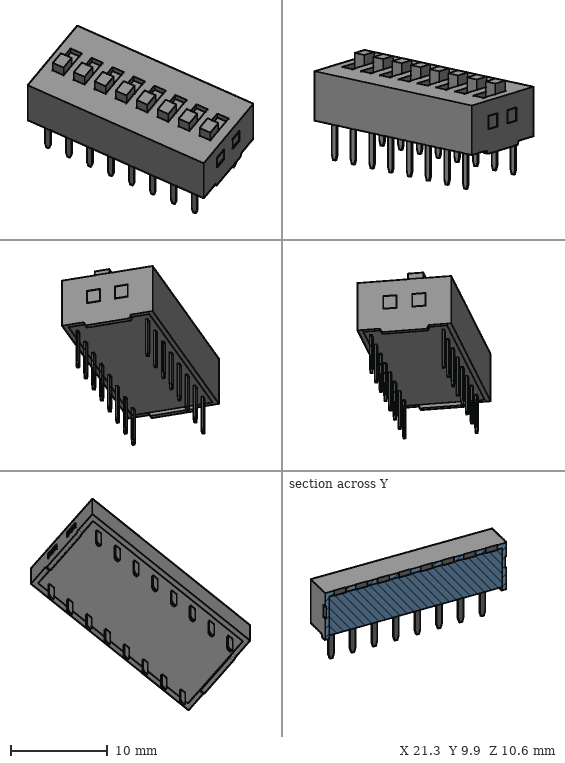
import cadquery as cq

LENGTH = 21.32
WIDTH = 9.9
BODY_HEIGHT = 5.3
OVERALL_HEIGHT = 10.55
WALL = 0.53
ROOF = 0.62

SWITCH_COUNT = 8
PITCH = 2.54

SLOT_WIDTH = 1.35
SLOT_LENGTH = 3.62

SLIDER_RISE = 1.1
SLIDER_WIDTH = 1.3
SLIDER_LENGTH = 1.6
SLIDER_END_GAP = 0.05

WINDOW_SIZE = 1.4
WINDOW_SPACING = 3.05
WINDOW_BOTTOM = 2.22
WINDOW_DEPTH = 0.1

FOOT_FILLET = 0.203
FOOT_NECK_WIDTH = 4.99

PIN_WIDTH = 0.62
PIN_THICKNESS = 0.21
PIN_TIP_WIDTH = 0.3
PIN_TAPER = 0.53
PIN_ROW_SPACING = 7.61

INNER_LENGTH = LENGTH - 2 * WALL
INNER_WIDTH = WIDTH - 2 * WALL
BASE_HEIGHT = BODY_HEIGHT - ROOF
FOOT_HEIGHT = 2 * FOOT_FILLET
PIN_LENGTH = OVERALL_HEIGHT - BODY_HEIGHT - SLIDER_RISE

SWITCH_XS = [(i - (SWITCH_COUNT - 1) / 2) * PITCH for i in range(SWITCH_COUNT)]


def block(length, width, height, x=0, y=0, z=0):
    """Box centred on (x, y), standing on height z."""
    return cq.Workplane("XY").box(length, width, height, (True, True, False)).translate((x, y, z))


def make_foot(x_start):
    """Standoff under an end wall, with a concave and a convex round on each flank."""
    neck = FOOT_NECK_WIDTH / 2
    root = neck + FOOT_FILLET
    sole = neck - FOOT_FILLET
    rounding = FOOT_FILLET * 0.5**0.5
    return (
        cq.Workplane("YZ", origin=(x_start, 0, 0))
        .moveTo(-root, 0)
        .threePointArc((-root + rounding, -FOOT_FILLET + rounding), (-neck, -FOOT_FILLET))
        .threePointArc((-sole - rounding, -FOOT_FILLET - rounding), (-sole, -FOOT_HEIGHT))
        .lineTo(sole, -FOOT_HEIGHT)
        .threePointArc((sole + rounding, -FOOT_FILLET - rounding), (neck, -FOOT_FILLET))
        .threePointArc((root - rounding, -FOOT_FILLET + rounding), (root, 0))
        .close()
        .extrude(WALL)
    )


def make_cover():
    """Shell open at the bottom, with roof slots, blind end windows and two feet."""
    cover = block(LENGTH, WIDTH, BODY_HEIGHT).cut(block(INNER_LENGTH, INNER_WIDTH, BASE_HEIGHT))
    for x in SWITCH_XS:
        cover = cover.cut(block(SLOT_WIDTH, SLOT_LENGTH, ROOF, x, 0, BASE_HEIGHT))
    for side in (-1, 1):
        window_x = side * (LENGTH - WINDOW_DEPTH) / 2
        for window_y in (-WINDOW_SPACING / 2, WINDOW_SPACING / 2):
            cover = cover.cut(
                block(WINDOW_DEPTH, WINDOW_SIZE, WINDOW_SIZE, window_x, window_y, WINDOW_BOTTOM)
            )
    for foot_x in (-LENGTH / 2, LENGTH / 2 - WALL):
        cover = cover.union(make_foot(foot_x))
    return cover


def make_pin(x, y):
    """Flat pin hanging from Z = 0, its edges tapered towards the tip."""
    half = PIN_WIDTH / 2
    half_tip = PIN_TIP_WIDTH / 2
    taper_z = PIN_TAPER - PIN_LENGTH
    return (
        cq.Workplane("XZ")
        .polyline(
            [
                (-half, 0),
                (half, 0),
                (half, taper_z),
                (half_tip, -PIN_LENGTH),
                (-half_tip, -PIN_LENGTH),
                (-half, taper_z),
            ]
        )
        .close()
        .extrude(PIN_THICKNESS / 2, both=True)
        .translate((x, y, 0))
    )


def make_base():
    """Block filling the cover, carrying both rows of pins."""
    base = block(INNER_LENGTH, INNER_WIDTH, BASE_HEIGHT)
    for y in (-PIN_ROW_SPACING / 2, PIN_ROW_SPACING / 2):
        for x in SWITCH_XS:
            base = base.union(make_pin(x, y))
    return base


def make_slider(x):
    """Slider standing on the base, near the -Y end of its slot."""
    y = -SLOT_LENGTH / 2 + SLIDER_END_GAP + SLIDER_LENGTH / 2
    return block(SLIDER_WIDTH, SLIDER_LENGTH, ROOF + SLIDER_RISE, x, y, BASE_HEIGHT)


cover = make_cover()
base = make_base()
sliders = [make_slider(x) for x in SWITCH_XS]

result = cq.Compound.makeCompound([cover.val(), base.val(), *[slider.val() for slider in sliders]])